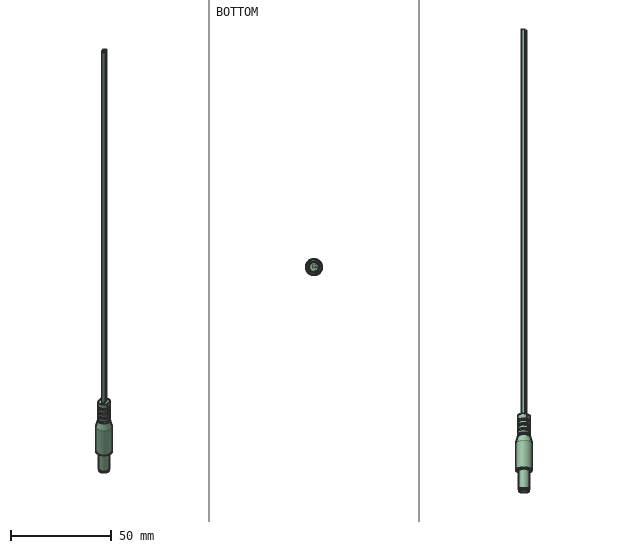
import cadquery as cq
import math

total_length = 243.46
tip_height = 1.0
body_bottom = 10.8
body_top = 25.5
relief_bottom = 29.0
relief_top = 40.0

barrel_diameter = 5.5
tip_diameter = 5.46
tip_chamfer = 0.3
body_diameter = 8.25
body_chamfer = 0.4

relief_diameter = 6.3
flat_offset_top = 2.55
flat_offset_bottom = 3.1

slot_count = 4
slot_height = 1.0
slot_pitch = 2.5
post_half_angle = 10.0

wire_diameter = 1.75
wire_spacing = 1.7


def cylinder(diameter, bottom, top):
    return cq.Workplane("XY").workplane(offset=bottom).circle(diameter / 2).extrude(top - bottom)


def make_plug():
    """Tip, barrel, grip body and the cone that leads up to the strain relief."""
    tip_radius = tip_diameter / 2
    barrel_radius = barrel_diameter / 2
    body_radius = body_diameter / 2
    profile = [
        (0, 0),
        (tip_radius - tip_chamfer, 0),
        (tip_radius, tip_chamfer),
        (tip_radius, tip_height),
        (barrel_radius, tip_height),
        (barrel_radius, body_bottom),
        (body_radius - body_chamfer, body_bottom),
        (body_radius, body_bottom + body_chamfer),
        (body_radius, body_top),
        (relief_diameter / 2, relief_bottom),
        (0, relief_bottom),
    ]
    return cq.Workplane("XZ").polyline(profile).close().revolve(360, (0, 0), (0, 1))


def make_cable():
    """Both wires, running from the plug body to the free end."""
    wires = cq.Workplane("XY")
    for side in (-1, 1):
        wire = cylinder(wire_diameter, body_top, total_length)
        wires = wires.union(wire.translate((0, side * wire_spacing / 2, 0)))
    return wires


def make_relief_blank():
    """Strain relief without slots: the cylinder trimmed by the two flats."""
    trim = (
        cq.Workplane("XZ")
        .polyline(
            [
                (-flat_offset_bottom, relief_bottom),
                (flat_offset_bottom, relief_bottom),
                (flat_offset_top, relief_top),
                (-flat_offset_top, relief_top),
            ]
        )
        .close()
        .extrude(relief_diameter, both=True)
    )
    return cylinder(relief_diameter, relief_bottom, relief_top).intersect(trim)


def make_slot(bottom, post_direction):
    """A disc the height of one slot, less the two posts that stay along post_direction degrees."""
    slot = cylinder(body_diameter, bottom, bottom + slot_height)
    post_length = body_diameter
    post_half_width = post_length * math.tan(math.radians(post_half_angle))
    for turn in (0, 180):
        post = (
            cq.Workplane("XY")
            .workplane(offset=bottom)
            .polyline([(0, 0), (post_length, -post_half_width), (post_length, post_half_width)])
            .close()
            .extrude(slot_height)
            .rotate((0, 0, 0), (0, 0, 1), post_direction + turn)
        )
        slot = slot.cut(post)
    return slot


def make_strain_relief():
    """The blank with its slots; the posts lie along X and Y in turn, starting with X."""
    relief = make_relief_blank()
    for index in range(slot_count):
        post_direction = 90 * (index % 2)
        relief = relief.cut(make_slot(relief_bottom + index * slot_pitch, post_direction))
    return relief


result = make_plug().union(make_strain_relief()).union(make_cable())